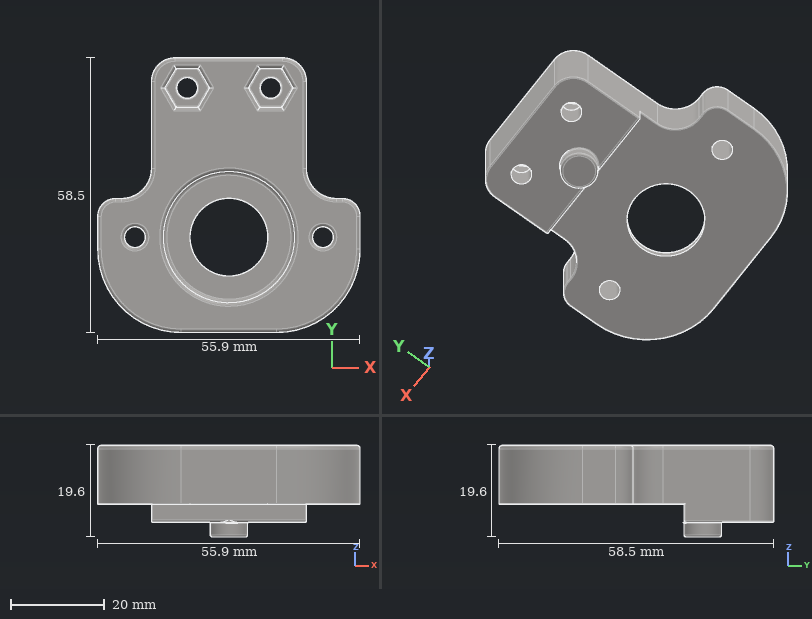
import cadquery as cq
import math

plate_thickness = 12.6
block_drop = 3.81
pin_length = 3.15
block_bottom = -(plate_thickness + block_drop)

body_half_width = 27.94
tab_half_width = 16.51
body_front = -20.32
body_shoulder = 8.255
tab_end = 38.2
front_corner_radius = 17.78
shoulder_radius = 3.81
inner_corner_radius = 6.35
tab_corner_radius = 5.08

block_front = 19.05
pin_radius = 4.0
pin_y = block_front + pin_radius
pin_end_fillet = 0.5
pin_root_fillet = 0.2

bearing_radius = 13.97
bearing_depth = 10.55
shaft_radius = 8.255
screw_radius = 2.184
ear_screw_x = 20.0
nut_x = 8.89
nut_y = 31.75
nut_across_flats = 8.26
nut_depth = 9.525

edge_fillet = 0.762
small_fillet = 0.254
block_front_fillet = 0.5
bottom_fillet = 0.2

cut_margin = 1.0
block_overlap = plate_thickness / 2


def plate():
    """Plate with wide ears, a narrow tab and concave corners between them."""
    body = (
        cq.Workplane("XY", origin=(0, 0, -plate_thickness))
        .moveTo(-body_half_width, body_front)
        .lineTo(body_half_width, body_front)
        .lineTo(body_half_width, body_shoulder)
        .lineTo(tab_half_width, body_shoulder)
        .lineTo(tab_half_width, tab_end)
        .lineTo(-tab_half_width, tab_end)
        .lineTo(-tab_half_width, body_shoulder)
        .lineTo(-body_half_width, body_shoulder)
        .close()
        .extrude(plate_thickness)
    )
    corners = (
        (body_half_width, body_front, front_corner_radius),
        (body_half_width, body_shoulder, shoulder_radius),
        (tab_half_width, body_shoulder, inner_corner_radius),
        (tab_half_width, tab_end, tab_corner_radius),
    )
    for x, y, radius in corners:
        for side in (-1, 1):
            corner = cq.selectors.NearestToPointSelector((side * x, y, -plate_thickness / 2))
            body = body.edges("|Z").edges(corner).fillet(radius)
    return body.faces("<Z").edges().fillet(bottom_fillet)


def block():
    """Block below the outer half of the tab, reaching up into the plate."""
    length = tab_end - block_front
    body = (
        cq.Workplane("XY", origin=(0, block_front + length / 2, block_bottom))
        .rect(2 * tab_half_width, length)
        .extrude(block_drop + block_overlap)
    )
    body = body.edges("|Z and >Y").fillet(tab_corner_radius)
    body = body.faces("<Z").edges("<Y").fillet(block_front_fillet)
    front_corner = cq.selectors.NearestToPointSelector((tab_half_width, block_front, -plate_thickness))
    return body.edges("|Z").edges(front_corner).fillet(small_fillet)


def pin():
    """Locating pin below the block with a rounded free end and a flared root."""
    end_z = block_bottom - pin_length
    top_z = -plate_thickness
    return (
        cq.Workplane("XZ")
        .moveTo(0, end_z)
        .lineTo(pin_radius - pin_end_fillet, end_z)
        .radiusArc((pin_radius, end_z + pin_end_fillet), -pin_end_fillet)
        .lineTo(pin_radius, block_bottom - pin_root_fillet)
        .radiusArc((pin_radius + pin_root_fillet, block_bottom), pin_root_fillet)
        .lineTo(pin_radius, block_bottom)
        .lineTo(pin_radius, top_z)
        .lineTo(0, top_z)
        .close()
        .revolve(360, (0, 0, 0), (0, 1, 0))
        .translate((0, pin_y, 0))
    )


def bearing_seat():
    """Cutter for the bearing bore with a rounded floor and the shaft hole below it."""
    bore = cq.Workplane("XY", origin=(0, 0, -bearing_depth)).circle(bearing_radius).extrude(bearing_depth)
    bore = bore.faces("<Z").edges().fillet(edge_fillet)
    return bore.union(through_hole(0, 0, shaft_radius))


def through_hole(x, y, radius):
    """Cutter for a hole from the top face down through everything."""
    depth = plate_thickness + block_drop + cut_margin
    return cq.Workplane("XY", origin=(x, y, -depth)).circle(radius).extrude(depth)


def nut_pocket(x):
    """Cutter for a hexagonal nut pocket with a rounded floor."""
    across_corners = nut_across_flats / math.cos(math.pi / 6)
    pocket = (
        cq.Workplane("XY", origin=(x, nut_y, -nut_depth))
        .polygon(6, across_corners)
        .extrude(nut_depth)
    )
    return pocket.faces("<Z").edges().fillet(small_fillet)


def nut_hole(x):
    """Cutter for the screw hole below a nut pocket, with a rounded upper rim."""
    rim_radius = screw_radius + small_fillet
    depth_below = -nut_depth - small_fillet
    rim = (
        cq.Workplane("XZ")
        .moveTo(0, depth_below)
        .lineTo(screw_radius, depth_below)
        .radiusArc((rim_radius, -nut_depth), small_fillet)
        .lineTo(0, -nut_depth)
        .close()
        .revolve(360, (0, 0, 0), (0, 1, 0))
        .translate((x, nut_y, 0))
    )
    return rim.union(through_hole(x, nut_y, screw_radius))


body = plate().union(block()).union(pin())
body = body.cut(bearing_seat())
for side in (-1, 1):
    body = body.cut(through_hole(side * ear_screw_x, 0, screw_radius))
    body = body.cut(nut_pocket(side * nut_x))
body = body.faces(">Z").edges().fillet(edge_fillet)
for side in (-1, 1):
    body = body.cut(nut_hole(side * nut_x))

result = body